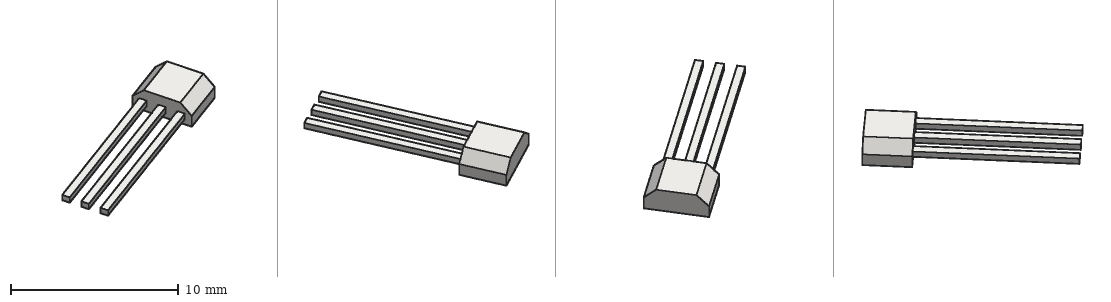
import cadquery as cq

body_width = 4.0
body_length = 3.0
body_height = 1.61
top_width = 2.46
side_height = 0.86

lead_count = 3
lead_pitch = 1.29
lead_width = 0.51
lead_thickness = 0.43
lead_length = 10.0
lead_bottom = 0.43


def make_body():
    """Body with two sloped upper corners, running from Y = 0 to +Y."""
    half_width = body_width / 2
    half_top = top_width / 2
    outline = [
        (-half_width, 0),
        (half_width, 0),
        (half_width, side_height),
        (half_top, body_height),
        (-half_top, body_height),
        (-half_width, side_height),
    ]
    return cq.Workplane("XZ").polyline(outline).close().extrude(-body_length)


def make_lead(x_center):
    """Straight rectangular lead leaving the body's Y = 0 face towards -Y."""
    return (
        cq.Workplane("XY")
        .box(lead_width, lead_length, lead_thickness, centered=(True, False, False))
        .translate((x_center, -lead_length, lead_bottom))
    )


result = make_body()
for index in range(lead_count):
    x_center = (index - (lead_count - 1) / 2) * lead_pitch
    result = result.union(make_lead(x_center))